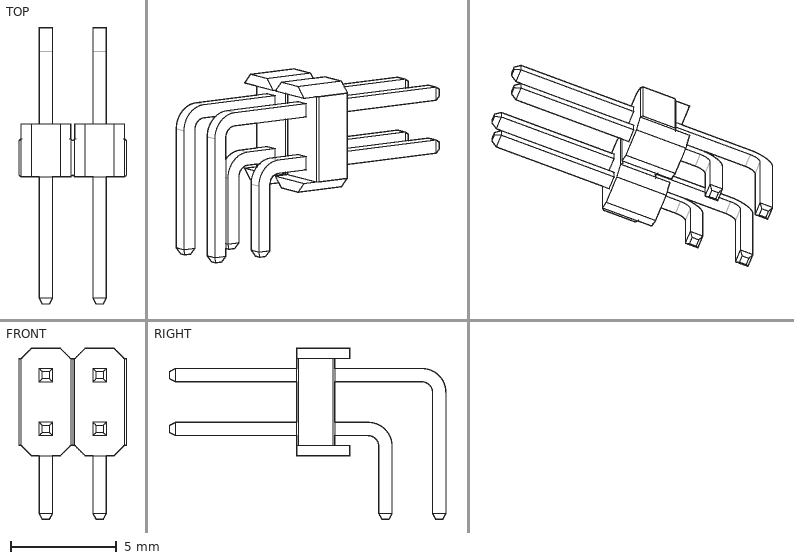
import cadquery as cq

pitch = 2.54
columns = 2
rows = 2

housing_height = rows * pitch
housing_depth = 2.5
corner_chamfer = 0.5
side_step = 0.09
block_width = pitch - 2 * side_step
spine_height = housing_height - 2 * corner_chamfer
back_recess_depth = 0.7
spine_depth = housing_depth - back_recess_depth

pin_width = 0.64
bend_inner_radius = 0.5
bend_outer_radius = bend_inner_radius + pin_width
tip_length = 0.29
tip_inset = 0.15
tip_width = pin_width - 2 * tip_inset
pin_front_reach = 6.0
pin_bottom_reach = 3.0
overall_depth = 13.05

pin_tip_y = -pin_front_reach
pin_tip_z = -housing_height / 2 - pin_bottom_reach
top_pin_back_y = pin_tip_y + overall_depth

column_centers = [(i - (columns - 1) / 2) * pitch for i in range(columns)]
row_centers = [(i - (rows - 1) / 2) * pitch for i in range(rows)]


def box_from_front(width, depth, height):
    """Box centred in X and Z that runs back from the housing's front face."""
    return cq.Workplane("XY").box(width, depth, height, centered=(True, False, True))


def make_column_block():
    """Chamfered block around one column of pins, recessed at the back between its two lips."""
    block = box_from_front(block_width, housing_depth, housing_height)
    block = block.edges("|Y").chamfer(corner_chamfer)
    recess = box_from_front(block_width, back_recess_depth, spine_height)
    return block.cut(recess.translate((0, spine_depth, 0)))


def make_spine():
    """One pitch of the wall that joins the columns, with bevelled upright edges."""
    spine = box_from_front(pitch, spine_depth, spine_height)
    return spine.edges("|Z").chamfer(side_step)


def make_housing():
    """Column blocks joined by the spine, with a square hole for each pin."""
    segment = make_column_block().union(make_spine())
    for row_z in row_centers:
        hole = box_from_front(pin_width, housing_depth, pin_width)
        segment = segment.cut(hole.translate((0, 0, row_z)))
    housing = segment.translate((column_centers[0], 0, 0))
    for column_x in column_centers[1:]:
        housing = housing.union(segment.translate((column_x, 0, 0)))
    return housing


def make_tip(base_center, direction):
    """Tapered square end of a pin, pointing along the given direction."""
    base_plane = cq.Plane(origin=base_center, xDir=(1, 0, 0), normal=direction)
    return (
        cq.Workplane(base_plane)
        .rect(pin_width, pin_width)
        .workplane(offset=tip_length)
        .rect(tip_width, tip_width)
        .loft(ruled=True)
    )


def make_pin(column_x, row_z):
    """Right-angle square pin; each lower row bends down one pitch nearer the housing."""
    top_z = row_z + pin_width / 2
    back_y = top_pin_back_y - (row_centers[-1] - row_z)
    shank_front_y = pin_tip_y + tip_length
    shank_bottom_z = pin_tip_z + tip_length

    shank_length_y = back_y - shank_front_y
    shank_length_z = top_z - shank_bottom_z
    shank = (
        cq.Workplane("YZ", origin=(column_x, shank_front_y, top_z))
        .lineTo(shank_length_y - bend_outer_radius, 0)
        .radiusArc((shank_length_y, -bend_outer_radius), bend_outer_radius)
        .lineTo(shank_length_y, -shank_length_z)
        .lineTo(shank_length_y - pin_width, -shank_length_z)
        .lineTo(shank_length_y - pin_width, -bend_outer_radius)
        .radiusArc((shank_length_y - bend_outer_radius, -pin_width), -bend_inner_radius)
        .lineTo(0, -pin_width)
        .close()
        .extrude(pin_width / 2, both=True)
    )
    front_tip = make_tip((column_x, shank_front_y, row_z), (0, -1, 0))
    bottom_tip = make_tip((column_x, back_y - pin_width / 2, shank_bottom_z), (0, 0, -1))
    return shank.union(front_tip).union(bottom_tip)


housing = make_housing()
pins = [make_pin(column_x, row_z) for column_x in column_centers for row_z in row_centers]

result = cq.Compound.makeCompound([housing.solids().val(), *[pin.solids().val() for pin in pins]])